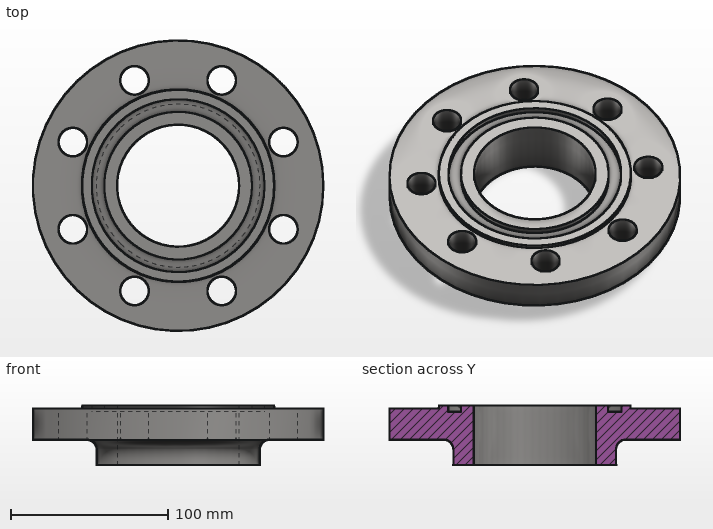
import cadquery as cq
import math

flange_diameter = 185.0
flange_thickness = 20.0
overall_height = 38.0

face_diameter = 122.0
face_height = 2.0
face_taper_angle = 10.0
groove_outer_diameter = 110.0
groove_inner_diameter = 94.0
groove_depth = 4.0

hub_diameter = 104.0
hub_fillet_radius = 6.0
bore_diameter = 77.5

bolt_count = 8
bolt_hole_diameter = 18.0
bolt_circle_diameter = 145.0
bolt_pitch_angle = 360.0 / bolt_count

hub_bottom = 0.0
plate_top = overall_height - face_height
plate_bottom = plate_top - flange_thickness


def disc(diameter, bottom, top):
    return cq.Workplane("XY").workplane(offset=bottom).circle(diameter / 2).extrude(top - bottom)


def flange_body():
    """Revolved outer shape: hub, fillet, plate and raised face."""
    hub_radius = hub_diameter / 2
    fillet_start = plate_bottom - hub_fillet_radius
    fillet_end_radius = hub_radius + hub_fillet_radius
    sagitta = hub_fillet_radius * (1 - math.sqrt(0.5))
    face_radius = face_diameter / 2
    face_base_radius = face_radius + face_height * math.tan(math.radians(face_taper_angle))
    profile = (
        cq.Workplane("XZ")
        .moveTo(0, hub_bottom)
        .lineTo(hub_radius, hub_bottom)
        .lineTo(hub_radius, fillet_start)
        .threePointArc(
            (hub_radius + sagitta, plate_bottom - sagitta),
            (fillet_end_radius, plate_bottom),
        )
        .lineTo(flange_diameter / 2, plate_bottom)
        .lineTo(flange_diameter / 2, plate_top)
        .lineTo(face_base_radius, plate_top)
        .lineTo(face_radius, overall_height)
        .lineTo(0, overall_height)
        .close()
    )
    return profile.revolve(360, (0, 0, 0), (0, 1, 0))


def face_groove():
    groove_bottom = overall_height - groove_depth
    outer = disc(groove_outer_diameter, groove_bottom, overall_height)
    return outer.cut(disc(groove_inner_diameter, groove_bottom, overall_height))


def bolt_holes():
    return (
        cq.Workplane("XY")
        .workplane(offset=plate_bottom)
        .polarArray(bolt_circle_diameter / 2, bolt_pitch_angle / 2, 360, bolt_count)
        .circle(bolt_hole_diameter / 2)
        .extrude(flange_thickness)
    )


bore = disc(bore_diameter, hub_bottom, overall_height)
result = flange_body().cut(bore).cut(face_groove()).cut(bolt_holes())